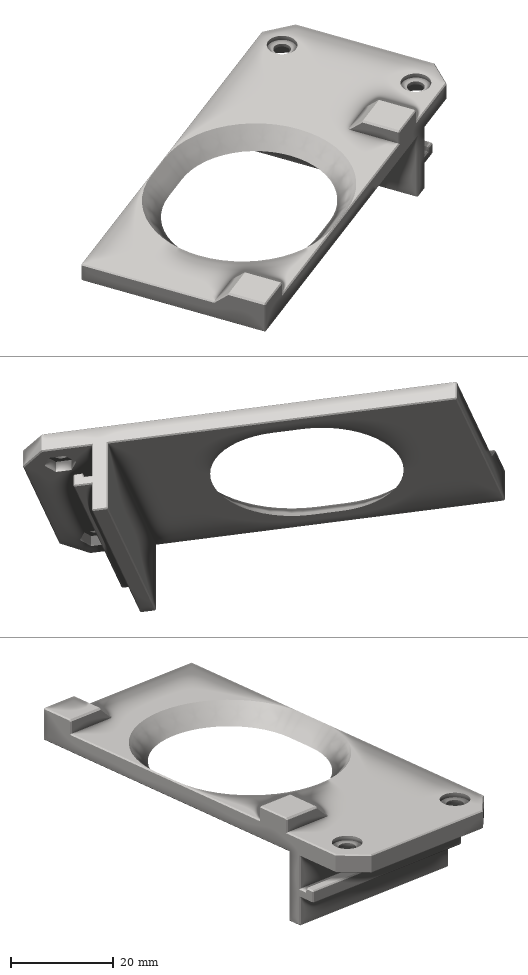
import cadquery as cq
import math

plate_width = 40.0
plate_length = 88.8
plate_thickness = 4.0
corner_cut = 5.0

edge_chamfer = 0.25
square_edge_limit = 0.3

hole_diameter = 3.5
hole_spacing = 28.95
hole_inset = 7.5
head_diameter = 6.0
head_depth = 1.0
nut_across_flats = 5.5
nut_depth = 2.3

opening_bottom_width = 32.0
opening_top_width = 39.4
opening_straight = 6.1
opening_center_y = -9.2

clip_height = 3.0
clip_length = 8.0
clip_top_width = 8.0
clip_ramp_run = 3.2
clip_top_chamfer = 0.35
rear_clip_inset = 18.8

wall_height = 15.0
wall_thickness = 3.3
wall_inset = 15.1
ledge_reach = 3.7
ledge_drop = 6.9
ledge_thickness = 1.95
lip_height = 0.8
lip_width = 1.9
lip_slope = 0.35

half_width = plate_width / 2
rear_y = plate_length / 2
front_y = -plate_length / 2
plate_bottom = -plate_thickness
wall_bottom = plate_bottom - wall_height
hole_y = rear_y - hole_inset


def make_plate():
    plate = cq.Workplane("XY").box(
        plate_width, plate_length, plate_thickness, centered=(True, True, False)
    )
    plate = plate.translate((0, 0, plate_bottom))
    return plate.edges("|Z and >Y").chamfer(corner_cut)


def make_opening():
    """Oblong funnel that narrows from the top face to the bottom face."""
    bottom_length = opening_bottom_width + opening_straight
    top_length = opening_top_width + opening_straight
    return (
        cq.Workplane("XY", origin=(0, opening_center_y, plate_bottom))
        .slot2D(bottom_length, opening_bottom_width, 90)
        .workplane(offset=plate_thickness)
        .slot2D(top_length, opening_top_width, 90)
        .loft(ruled=True, combine=True)
    )


def make_screw_hole(x):
    """Through hole with a shallow round recess on top and a hexagonal nut pocket below."""
    base = cq.Workplane("XY", origin=(x, hole_y, plate_bottom))
    shaft = base.circle(hole_diameter / 2).extrude(plate_thickness)
    nut_pocket = base.polygon(6, nut_across_flats, circumscribed=True).extrude(nut_depth)
    head_recess = (
        cq.Workplane("XY", origin=(x, hole_y, -head_depth))
        .circle(head_diameter / 2)
        .extrude(head_depth)
    )
    return shaft.union(nut_pocket).union(head_recess)


def make_clip(clip_rear_y):
    """Block with a ramp facing -X and bevelled top sides, flush with the plate's +X side."""
    top_x = half_width - clip_top_width
    ramp_foot_x = top_x - clip_ramp_run
    clip = (
        cq.Workplane("XZ", origin=(0, clip_rear_y, 0))
        .moveTo(half_width, 0)
        .lineTo(half_width, clip_height)
        .lineTo(top_x, clip_height)
        .lineTo(ramp_foot_x, 0)
        .close()
        .extrude(clip_length)
    )
    return clip.faces(">Z").edges("|X").chamfer(clip_top_chamfer)


def make_hooked_wall():
    """Wall and ledge profile, extruded across the full plate width."""
    wall_rear_y = rear_y - wall_inset
    wall_front_y = wall_rear_y - wall_thickness
    ledge_tip_y = wall_rear_y + ledge_reach
    ledge_top = plate_bottom - ledge_drop
    ledge_bottom = ledge_top - ledge_thickness
    lip_top = ledge_top + lip_height
    lip_front_y = ledge_tip_y - lip_width
    profile = [
        (wall_front_y, plate_bottom),
        (wall_front_y, wall_bottom),
        (wall_rear_y, wall_bottom),
        (wall_rear_y, ledge_bottom),
        (ledge_tip_y, ledge_bottom),
        (ledge_tip_y, lip_top),
        (lip_front_y, lip_top),
        (lip_front_y - lip_slope, ledge_top),
        (wall_rear_y, ledge_top),
        (wall_rear_y, plate_bottom),
    ]
    return (
        cq.Workplane("YZ", origin=(-half_width, 0, 0))
        .polyline(profile)
        .close()
        .extrude(plate_width)
    )


def bevel_square_edges(body):
    """Chamfer the outward right-angled edges, where a quarter of a small ball is solid."""
    solid = body.val()
    ball_volume = 4 / 3 * math.pi * edge_chamfer**3

    def is_square_edge(edge):
        ball = cq.Workplane(origin=edge.Center().toTuple()).sphere(edge_chamfer).val()
        return ball.intersect(solid).Volume() < square_edge_limit * ball_volume

    return body.edges().filter(is_square_edge).chamfer(edge_chamfer)


body = make_plate().union(make_hooked_wall())
for clip_rear_y in (rear_y - rear_clip_inset, front_y + clip_length):
    body = body.union(make_clip(clip_rear_y))
body = body.clean()

result = bevel_square_edges(body).cut(make_opening())
for hole_x in (-hole_spacing / 2, hole_spacing / 2):
    result = result.cut(make_screw_hole(hole_x))